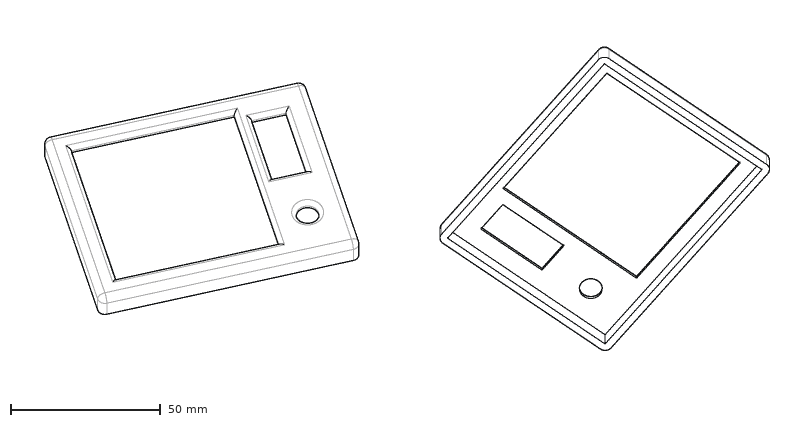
import cadquery as cq

width = 71.7
length = 90.5
height = 8.7
outer_round = 2.5
wall = 2.5

rim_round = 1.5
main_window_side = 56.45
main_window_y = -9.2
small_window_width = 25.9
small_window_length = 11.9
small_window_x = -11.6
small_window_y = 29.9
hole_diameter = 7.6
hole_x = 18.6
hole_y = 31.6


def make_shell():
    """Rounded cover with a plain cavity open at the underside."""
    body = cq.Workplane("XY").box(width, length, height, centered=(True, True, False))
    body = body.edges("|Z or >Z").fillet(outer_round)
    cavity = cq.Workplane("XY").box(
        width - 2 * wall, length - 2 * wall, height - wall, centered=(True, True, False)
    )
    return body.cut(cavity)


def cut_openings(body):
    """Cut the two windows and the round hole through the top plate."""
    windows = (
        (main_window_side, main_window_side, 0, main_window_y),
        (small_window_width, small_window_length, small_window_x, small_window_y),
    )
    for size_x, size_y, x, y in windows:
        cutter = cq.Workplane("XY").center(x, y).rect(size_x, size_y).extrude(height)
        body = body.cut(cutter)
    hole = cq.Workplane("XY").center(hole_x, hole_y).circle(hole_diameter / 2).extrude(height)
    return body.cut(hole)


def round_rims(body):
    """Round the top edges of every opening, which are the inner wires of the top face."""
    rim_edges = [edge for wire in body.faces(">Z").val().innerWires() for edge in wire.Edges()]
    return body.newObject(rim_edges).fillet(rim_round)


result = round_rims(cut_openings(make_shell()))